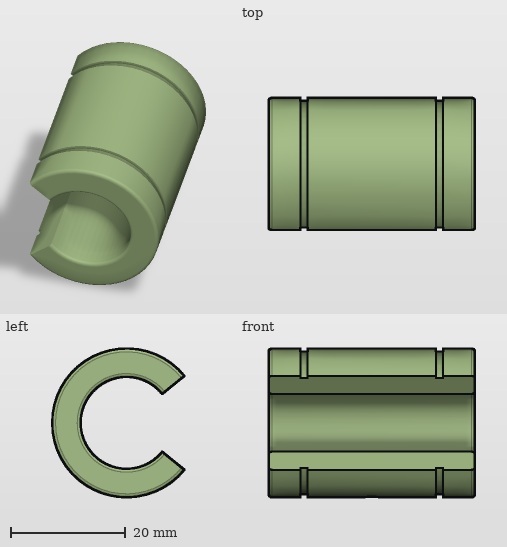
import cadquery as cq
import math

length = 36.0
outer_diameter = 26.0
bore_diameter = 16.0
edge_radius = 0.6

groove_diameter = 24.9
groove_width = 1.3
groove_span = 24.9

opening_angle = 78.0
locating_hole_diameter = 3.0

outer_radius = outer_diameter / 2
bore_radius = bore_diameter / 2
locating_hole_depth = (outer_radius - bore_radius) / 2


def tube_along_x(outside_diameter, inside_diameter, width, center_x=0.0):
    """Plain ring coaxial with the bushing, centred at center_x."""
    return (
        cq.Workplane("YZ", origin=(center_x - width / 2, 0, 0))
        .circle(outside_diameter / 2)
        .circle(inside_diameter / 2)
        .extrude(width)
    )


def bushing_sleeve():
    """Tube with all four end rims rounded."""
    sleeve = tube_along_x(outer_diameter, bore_diameter, length)
    return sleeve.faces("<X or >X").edges().fillet(edge_radius)


def retaining_ring_groove(side):
    """Ring to cut away near one end; side is -1 or +1 along X."""
    center_x = side * (groove_span - groove_width) / 2
    cutter_diameter = 1.5 * outer_diameter
    return tube_along_x(cutter_diameter, groove_diameter, groove_width, center_x)


def opening_sector():
    """Wedge with its apex on the axis, giving radial walls to the opening."""
    reach_y = 2 * outer_radius
    half_height = reach_y * math.tan(math.radians(opening_angle / 2))
    return (
        cq.Workplane("YZ")
        .polyline([(0, 0), (-reach_y, half_height), (-reach_y, -half_height)])
        .close()
        .extrude(length, both=True)
    )


def locating_hole():
    """Flat-bottomed radial hole, from the underside to half the wall, at mid length."""
    return (
        cq.Workplane("XY", origin=(0, 0, -outer_radius))
        .circle(locating_hole_diameter / 2)
        .extrude(locating_hole_depth)
    )


result = bushing_sleeve()
for end_side in (-1, 1):
    result = result.cut(retaining_ring_groove(end_side))
result = result.cut(opening_sector())
result = result.cut(locating_hole())